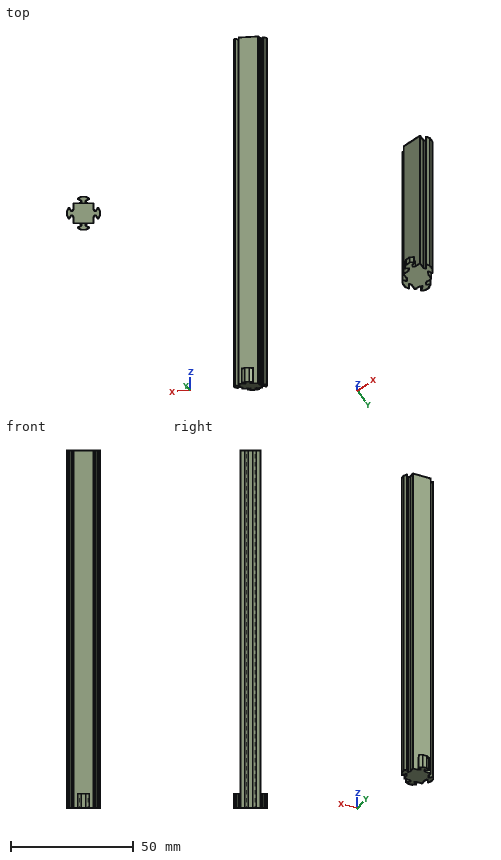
import cadquery as cq
import math

overall_width = 13.6
length = 146.0
core_width = 8.22
core_corner_bevel = 0.15
short_tongue_length = 6.0

crown_width = 1.8
neck_width = 1.8
head_width = 4.65
head_rim = 0.17
root_flare_depth = 0.46
bevel_angle = 30.0

bevel_slope = math.tan(math.radians(bevel_angle))
outer_reach = overall_width / 2
core_reach = core_width / 2
rim_outer_reach = outer_reach - (head_width - crown_width) / 2 * bevel_slope
rim_inner_reach = rim_outer_reach - head_rim
neck_outer_reach = rim_inner_reach - (head_width - neck_width) / 2 * bevel_slope
neck_inner_reach = core_reach + root_flare_depth
root_width = neck_width + 2 * root_flare_depth / bevel_slope


def make_core():
    """Square bar with chamfered long edges, standing on the XY plane."""
    bar = cq.Workplane("XY").rect(core_width, core_width).extrude(length)
    return bar.edges("|Z").chamfer(core_corner_bevel)


def make_tongue(height, angle):
    """Tongue on the +X side, turned about Z by the given angle in degrees."""
    half_outline = [
        (0, root_width / 2),
        (core_reach, root_width / 2),
        (neck_inner_reach, neck_width / 2),
        (neck_outer_reach, neck_width / 2),
        (rim_inner_reach, head_width / 2),
        (rim_outer_reach, head_width / 2),
        (outer_reach, crown_width / 2),
    ]
    mirrored_half = [(x, -y) for x, y in reversed(half_outline)]
    tongue = cq.Workplane("XY").polyline(half_outline + mirrored_half).close().extrude(height)
    return tongue.rotate((0, 0, 0), (0, 0, 1), angle)


result = make_core()
for side_angle in (0, 180):
    result = result.union(make_tongue(length, side_angle))
for side_angle in (90, 270):
    result = result.union(make_tongue(short_tongue_length, side_angle))